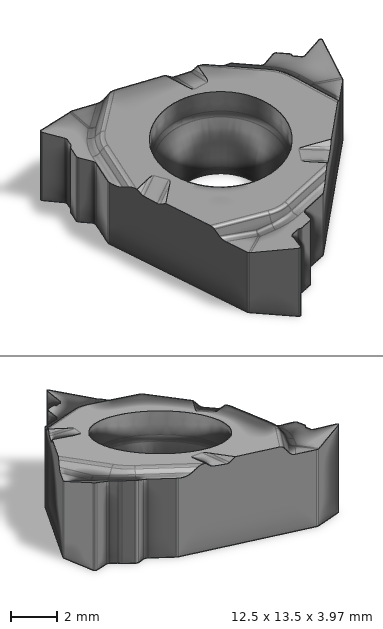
import cadquery as cq
import math

CORNERS = 3
CORNER_STEP = 360 / CORNERS
THICKNESS = 3.97
OVERRUN = 0.14

SIDE_DISTANCE = 4.75
FLANK_DISTANCE = 6.6
FLANK_ANGLE = math.radians(60)
INNER_FLANK_ANGLE = math.radians(58.5)
NOSE_RADIUS = 0.1
ROOT_X = -2.93
ROOT_Y = -5.98
STEP_X = -2.45
CREST_Y = -6.07
CREST_END_X = -1.64
LAND_Y = -5.38
PROFILE_RADIUS = 0.18
LAND_RADIUS = 0.25
STEP_ROOT_RADIUS = 0.08
STEP_FOOT_RADIUS = 0.14
SIDE_RADIUS = 0.25

LAND_EDGE_Y = -4.75
END_EDGE_Y = -3.08
END_EDGE_ANGLE = math.radians(32.3)
PLATEAU_CORNER_RADIUS = 1.76
WALL_TAPER = 40.0
PLATEAU_ROUNDING = 0.27
GROOVE_RADIUS = 0.35
GROOVE_LOW_Z = 2.7
FLOOR_TOP_Z = 3.58
SPACE_X = (-6.76, 4.05)
SPACE_Y = (-8.11, -2.03)
FLOOR_MARGIN = 0.4

TOOTH_SLOPE = 0.26
TIP_Y = -6.92
RAMP_EDGE_Z = 3.49
RAMP_SLOPE = 0.08

NOTCH_END = (-3.52, 0.6)
NOTCH_TURN = math.radians(15)
NOTCH_PITCH = math.radians(10)
NOTCH_FLOOR = 0.87
NOTCH_SIDE_RUN = 1.4
NOTCH_HEIGHT = 0.54
NOTCH_LENGTH = 2.16
NOTCH_RADIUS = 0.27

BORE_RADIUS = 4.4 / 2
COUNTERBORE_RADIUS = 3.08
SEAT_RIM_RADIUS = 2.99
SEAT_RADIUS = 4.02
SEAT_BOTTOM_Z = 0.38
SEAT_BLEND = 0.54


def turned(x, y, corner):
    """Point turned about the Z axis to the given corner."""
    angle = math.radians(CORNER_STEP * corner)
    return (x * math.cos(angle) - y * math.sin(angle), x * math.sin(angle) + y * math.cos(angle))


def repeated(body):
    """The body copied to every corner."""
    copies = body
    for corner in range(1, CORNERS):
        copies = copies.union(body.rotate((0, 0, 0), (0, 0, 1), CORNER_STEP * corner))
    return copies


def corner_outline():
    """Vertices of one corner, each with its rounding radius."""
    sine, cosine = math.sin(FLANK_ANGLE), math.cos(FLANK_ANGLE)
    inner_run = 1 / math.tan(INNER_FLANK_ANGLE)
    apex_y = -(FLANK_DISTANCE + sine * (ROOT_X - inner_run * ROOT_Y)) / (cosine + sine * inner_run)
    apex_x = ROOT_X + (apex_y - ROOT_Y) * inner_run
    crest_end_run = (LAND_Y - CREST_Y) / math.tan(FLANK_ANGLE)
    return [
        (-SIDE_DISTANCE, (SIDE_DISTANCE * sine - FLANK_DISTANCE) / cosine, SIDE_RADIUS),
        (apex_x, apex_y, NOSE_RADIUS),
        (ROOT_X, ROOT_Y, PROFILE_RADIUS),
        (STEP_X, ROOT_Y, STEP_ROOT_RADIUS),
        (STEP_X + ROOT_Y - CREST_Y, CREST_Y, STEP_FOOT_RADIUS),
        (CREST_END_X, CREST_Y, PROFILE_RADIUS),
        (CREST_END_X + crest_end_run, LAND_Y, LAND_RADIUS),
        ((SIDE_DISTANCE + LAND_Y * sine) / cosine, LAND_Y, SIDE_RADIUS),
    ]


def make_blank():
    """Full-height prism with rounded upright edges."""
    vertices = []
    for corner in range(CORNERS):
        for x, y, radius in corner_outline():
            vertices.append((*turned(x, y, corner), radius))
    blank = cq.Workplane().polyline([(x, y) for x, y, _ in vertices]).close().extrude(THICKNESS)
    for x, y, radius in vertices:
        edge = blank.edges("|Z").edges(cq.NearestToPointSelector((x, y, THICKNESS / 2)))
        blank = edge.fillet(radius)
    return blank


def make_plateau():
    """Raised centre with sloping walls, wider than the blank between the corners."""
    meet_x = (END_EDGE_Y - LAND_EDGE_Y) / math.tan(END_EDGE_ANGLE) - SIDE_DISTANCE
    next_x, next_y = turned(-SIDE_DISTANCE, END_EDGE_Y, 1)
    next_slope = math.tan(math.radians(CORNER_STEP) - END_EDGE_ANGLE)
    run_out_x = next_x + (LAND_EDGE_Y - next_y) / next_slope
    points = []
    for corner in range(CORNERS):
        points += [turned(meet_x, LAND_EDGE_Y, corner), turned(run_out_x, LAND_EDGE_Y, corner)]
    plan = cq.Workplane().polyline(points).close().extrude(THICKNESS)
    plan = plan.edges("|Z").fillet(PLATEAU_CORNER_RADIUS)
    outline = plan.faces("<Z").wires().val()
    widening = cq.Workplane().add(outline).toPending()
    widening = widening.extrude(THICKNESS - GROOVE_LOW_Z, taper=-WALL_TAPER)
    plateau = widening.mirror("XY").translate((0, 0, THICKNESS))
    return plateau.faces(">Z").edges().fillet(PLATEAU_ROUNDING)


def make_corner_space(plateau):
    """Space above the tooth face and the ramp, outside the plateau."""
    left, right = SPACE_X
    far, near = SPACE_Y

    def tooth_z(y):
        return THICKNESS - TOOTH_SLOPE * (y - TIP_Y)

    def ramp_z(x):
        return RAMP_EDGE_Z - RAMP_SLOPE * (x + SIDE_DISTANCE)

    above_tooth = (
        cq.Workplane("YZ", origin=(left, 0, 0))
        .polyline([(near, tooth_z(near)), (near, THICKNESS), (TIP_Y, THICKNESS)])
        .close().extrude(right - left)
    )
    above_ramp = (
        cq.Workplane("XZ", origin=(0, near, 0))
        .polyline([(left, ramp_z(left)), (right, ramp_z(right)), (right, THICKNESS), (left, THICKNESS)])
        .close().extrude(near - far)
    )
    space = above_tooth.intersect(above_ramp).cut(plateau)
    low_corner = (left + FLOOR_MARGIN, LAND_Y, GROOVE_LOW_Z)
    high_corner = (right - FLOOR_MARGIN, near - FLOOR_MARGIN, FLOOR_TOP_Z)
    floor_edges = cq.selectors.BoxSelector(low_corner, high_corner)
    return space.edges(floor_edges).fillet(GROOVE_RADIUS)


def make_notch():
    """Flared channel whose floor rises inward to the top face."""
    out = (
        -math.cos(NOTCH_TURN) * math.cos(NOTCH_PITCH),
        -math.sin(NOTCH_TURN) * math.cos(NOTCH_PITCH),
        -math.sin(NOTCH_PITCH),
    )
    across = (math.sin(NOTCH_TURN), -math.cos(NOTCH_TURN), 0)
    half = NOTCH_FLOOR / 2
    half_top = half + NOTCH_SIDE_RUN * NOTCH_HEIGHT
    plane = cq.Plane(origin=(*NOTCH_END, THICKNESS), xDir=across, normal=out)
    section = [(-half, 0), (half, 0), (half_top, NOTCH_HEIGHT), (-half_top, NOTCH_HEIGHT)]
    notch = cq.Workplane(plane).polyline(section).close().extrude(NOTCH_LENGTH)
    for x in (-half, half):
        corner = plane.toWorldCoords((x, 0, NOTCH_LENGTH / 2))
        notch = notch.edges(cq.NearestToPointSelector(corner.toTuple())).fillet(NOTCH_RADIUS)
    return notch


def make_screw_hole():
    """Through bore with a curved seat and a slightly conical counterbore."""
    seat_angle = math.acos(1 - (SEAT_RIM_RADIUS - BORE_RADIUS) / SEAT_RADIUS)

    def seat_point(angle):
        return (
            BORE_RADIUS + SEAT_RADIUS * (1 - math.cos(angle)),
            SEAT_BOTTOM_Z + SEAT_RADIUS * math.sin(angle),
        )

    hole = (
        cq.Workplane("XZ").moveTo(0, -OVERRUN).lineTo(BORE_RADIUS, -OVERRUN).lineTo(*seat_point(0))
        .threePointArc(seat_point(seat_angle / 2), seat_point(seat_angle))
        .lineTo(COUNTERBORE_RADIUS, THICKNESS)
        .lineTo(COUNTERBORE_RADIUS, THICKNESS + OVERRUN).lineTo(0, THICKNESS + OVERRUN).close().revolve()
    )
    seat_rim = cq.NearestToPointSelector((0, 0, seat_point(seat_angle)[1]))
    return hole.edges("%CIRCLE").edges(seat_rim).fillet(SEAT_BLEND)


plateau = make_plateau()
space = make_corner_space(plateau)
result = make_blank().cut(repeated(space)).cut(repeated(make_notch())).cut(make_screw_hole())